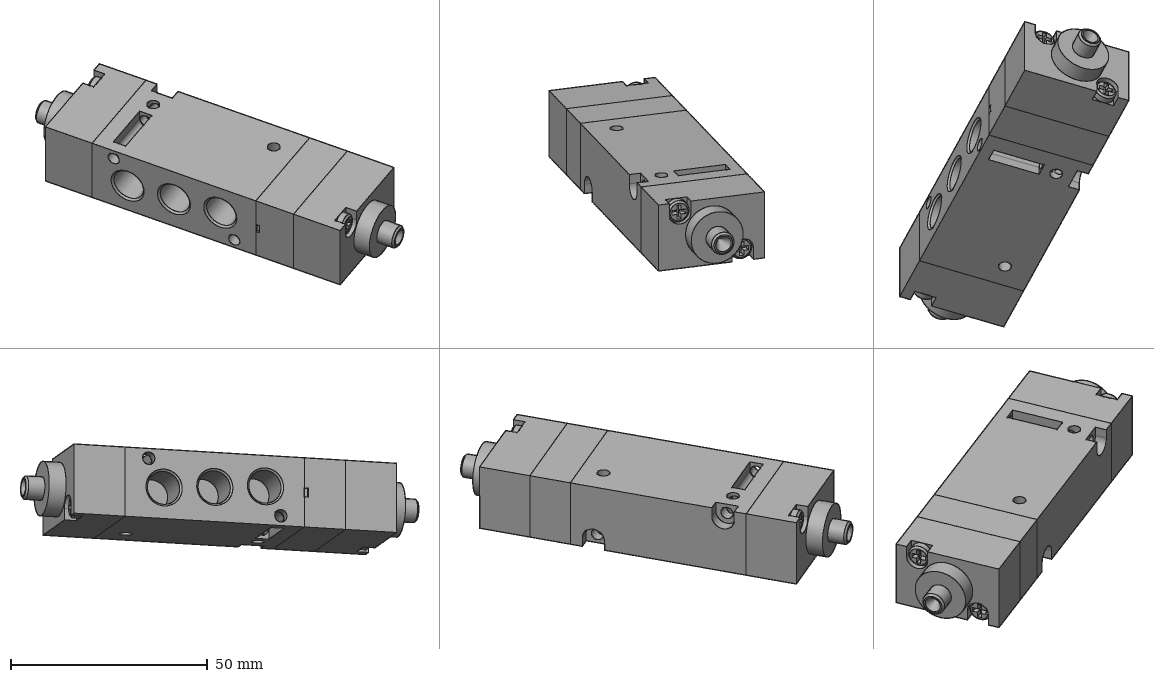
import cadquery as cq
import math

overall_length = 104.1
width = 28.5
height = 18.0

cap_length = 13.5
body_length = 47.5
spacer_length = 10.9
blocks_length = 2 * cap_length + body_length + spacer_length
left_end = -blocks_length / 2
body_start = left_end + cap_length
body_end = body_start + body_length
body_centre = (body_start + body_end) / 2

collar_diameter = 14.0
collar_length = 4.5
plunger_diameter = 6.0
plunger_length = (overall_length - blocks_length) / 2 - collar_length
plunger_chamfer = 0.5
centre_diameter = 4.2
centre_angle = 60.0

screw_y = 8.4
screw_z = 6.0
pocket_radius = 2.9
pocket_depth = 3.1
head_height = 2.2
head_chamfer = 0.5
cross_length = 3.7
cross_width = 1.1
cross_depth = 1.0
cross_taper = 20.0

port_diameter = 8.5
port_chamfer = 0.5
port_depth = 11.5
port_pitch = 13.4
port_rise = 0.9

hole_diameter = 3.2
hole_offset_x = 17.5
cross_hole_z = 6.5
vertical_hole_y = 6.7
counterbore_width = 6.0
counterbore_depth = 3.0
slot_width = 3.5
slot_front_y = -11.1
slot_back_y = 2.7

notch_length = 1.0
notch_height = 2.3
notch_depth = 0.5


def block(start, length):
    """Plain block of the full cross-section, starting at the given X."""
    return cq.Workplane("XY").box(length, width, height).translate((start + length / 2, 0, 0))


def box_between(x_range, y_range, z_range):
    """Box given by its limits along each axis."""
    sizes = [high - low for low, high in (x_range, y_range, z_range)]
    corner = (x_range[0], y_range[0], z_range[0])
    return cq.Workplane("XY").box(*sizes, centered=False).translate(corner)


def u_channel(plane, radius, rise, length):
    """Round-bottomed channel: a half circle about the plane's origin with straight sides going up."""
    return (
        plane.moveTo(-radius, rise)
        .lineTo(-radius, 0)
        .threePointArc((0, -radius), (radius, 0))
        .lineTo(radius, rise)
        .close()
        .extrude(length)
    )


def plunger():
    """Collar and plunger outside the left cap, with a conical centre hole in the tip."""
    collar_face = left_end - collar_length
    tip = collar_face - plunger_length
    collar = cq.Workplane("YZ", origin=(collar_face, 0, 0)).circle(collar_diameter / 2).extrude(collar_length)
    rod = cq.Workplane("YZ", origin=(tip, 0, 0)).circle(plunger_diameter / 2).extrude(plunger_length)
    rod = rod.faces("<X").chamfer(plunger_chamfer)
    centre_depth = centre_diameter / 2 / math.tan(math.radians(centre_angle / 2))
    centre = cq.Solid.makeCone(
        centre_diameter / 2, 0, centre_depth, pnt=cq.Vector(tip, 0, 0), dir=cq.Vector(1, 0, 0)
    )
    return collar.union(rod).cut(cq.Workplane(centre))


def screw_pocket():
    """U-shaped recess at the upper screw of the left cap, open to the face and the top."""
    plane = cq.Workplane("YZ", origin=(left_end, screw_y, screw_z))
    return u_channel(plane, pocket_radius, height / 2 - screw_z, pocket_depth)


def screw_head():
    """Head of the upper screw, standing on the pocket floor, with a cross recess."""
    head_face = left_end + pocket_depth - head_height
    plane = cq.Workplane("YZ", origin=(head_face, screw_y, screw_z))
    head = plane.circle(pocket_radius).extrude(head_height).faces("<X").chamfer(head_chamfer)
    for arm_y, arm_z in ((cross_length, cross_width), (cross_width, cross_length)):
        head = head.cut(plane.rect(arm_y, arm_z).extrude(cross_depth, taper=cross_taper))
    return head


def left_cap():
    cap = block(left_end, cap_length).union(plunger())
    for angle in (0, 180):
        cap = cap.cut(screw_pocket().rotate((0, 0, 0), (1, 0, 0), angle))
        cap = cap.union(screw_head().rotate((0, 0, 0), (1, 0, 0), angle))
    return cap


def port(index):
    """Blind bore with a chamfered mouth; index runs from -1 to 1 along the body."""
    centre = (body_centre + index * port_pitch, -width / 2, index * port_rise)
    mouth_radius = port_diameter / 2 + port_chamfer
    plane = cq.Workplane("XZ", origin=centre)
    bore = plane.circle(port_diameter / 2).extrude(-port_depth)
    mouth = cq.Solid.makeCone(
        mouth_radius, port_diameter / 2, port_chamfer, pnt=cq.Vector(*centre), dir=cq.Vector(0, 1, 0)
    )
    return bore.union(cq.Workplane(mouth))


def upper_cross_hole():
    """Hole along Y with its counterbore at the back and its slot, both open to the top."""
    x = body_centre - hole_offset_x
    rise = height / 2 - cross_hole_z
    back = cq.Workplane("XZ", origin=(x, width / 2, cross_hole_z))
    slot_back = cq.Workplane("XZ", origin=(x, slot_back_y, cross_hole_z))
    hole = back.circle(hole_diameter / 2).extrude(width)
    counterbore = u_channel(back, counterbore_width / 2, rise, counterbore_depth)
    slot = u_channel(slot_back, slot_width / 2, rise, slot_back_y - slot_front_y)
    return hole.union(counterbore).union(slot)


def valve_body():
    body = block(body_start, body_length)
    for index in (-1, 0, 1):
        body = body.cut(port(index))
    for angle in (0, 180):
        body = body.cut(upper_cross_hole().rotate((body_centre, 0, 0), (body_centre, 1, 0), angle))
    for x in (body_centre - hole_offset_x, body_centre + hole_offset_x):
        vertical_hole = cq.Workplane("XY", origin=(x, vertical_hole_y, -height / 2))
        body = body.cut(vertical_hole.circle(hole_diameter / 2).extrude(height))
    return body


def spacer_block():
    notch = box_between(
        (body_end, body_end + notch_length),
        (-width / 2, -width / 2 + notch_depth),
        (-notch_height / 2, notch_height / 2),
    )
    return block(body_end, spacer_length).cut(notch)


caps = []
for turn in (0, 180):
    caps.append(left_cap().rotate((0, 0, 0), (0, 0, 1), turn).val())

result = cq.Compound.makeCompound([valve_body().val(), spacer_block().val(), *caps])